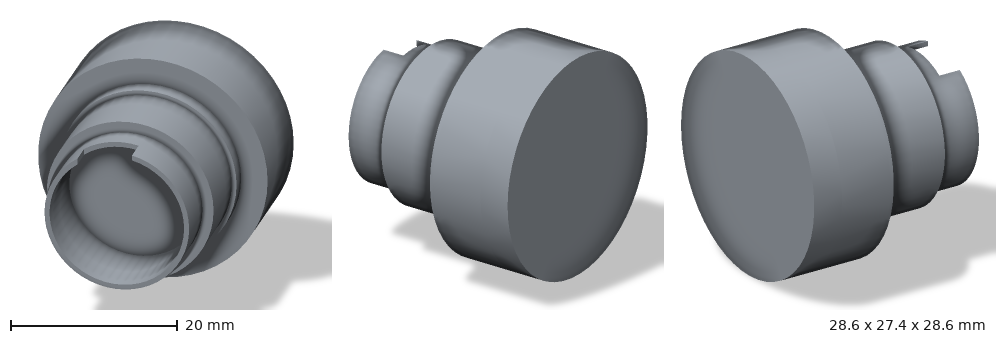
import cadquery as cq

HEAD_DIAMETER = 28.6
CAP_LENGTH = 4.0
BEZEL_LENGTH = 7.0
GASKET_LENGTH = 0.5

COLLAR_DIAMETER = 22.0
COLLAR_LENGTH = 2.0
BARREL_DIAMETER = 20.8
BARREL_LENGTH = 8.0
TUBE_DIAMETER = 18.02
TUBE_LENGTH = 5.85
TUBE_WALL = 0.63
BORE_DEPTH = 8.72

NOTCH_LEFT = -4.9
NOTCH_RIGHT = 1.9
NOTCH_DEPTH = 2.95

barrel_start = TUBE_LENGTH
collar_start = barrel_start + BARREL_LENGTH
gasket_start = collar_start + COLLAR_LENGTH
bezel_start = gasket_start + GASKET_LENGTH
cap_start = bezel_start + BEZEL_LENGTH


def cylinder(diameter, start, length):
    """Solid cylinder about the Y axis, running from start toward +Y."""
    return (
        cq.Workplane("XZ", origin=(0, start, 0))
        .circle(diameter / 2)
        .extrude(-length)
    )


def make_notch():
    """Off-centre rectangular cutter through the top wall of the tube."""
    return cq.Workplane("XY").box(
        NOTCH_RIGHT - NOTCH_LEFT, NOTCH_DEPTH, TUBE_DIAMETER / 2, centered=False
    ).translate((NOTCH_LEFT, 0, 0))


def make_stem():
    """Stepped stem with a blind bore and a notched open end."""
    tube = cylinder(TUBE_DIAMETER, 0, TUBE_LENGTH)
    barrel = cylinder(BARREL_DIAMETER, barrel_start, BARREL_LENGTH)
    collar = cylinder(COLLAR_DIAMETER, collar_start, COLLAR_LENGTH)
    bore = cylinder(TUBE_DIAMETER - 2 * TUBE_WALL, 0, BORE_DEPTH)
    return tube.union(barrel).union(collar).cut(bore).cut(make_notch())


def make_gasket():
    """Thin sealing disc between the stem and the bezel."""
    return cylinder(HEAD_DIAMETER, gasket_start, GASKET_LENGTH)


def make_bezel():
    """Thick middle disc of the head."""
    return cylinder(HEAD_DIAMETER, bezel_start, BEZEL_LENGTH)


def make_cap():
    """Disc that closes the +Y end of the head."""
    return cylinder(HEAD_DIAMETER, cap_start, CAP_LENGTH)


stem = make_stem()
gasket = make_gasket()
bezel = make_bezel()
cap = make_cap()

result = cq.Compound.makeCompound([stem.val(), gasket.val(), bezel.val(), cap.val()])